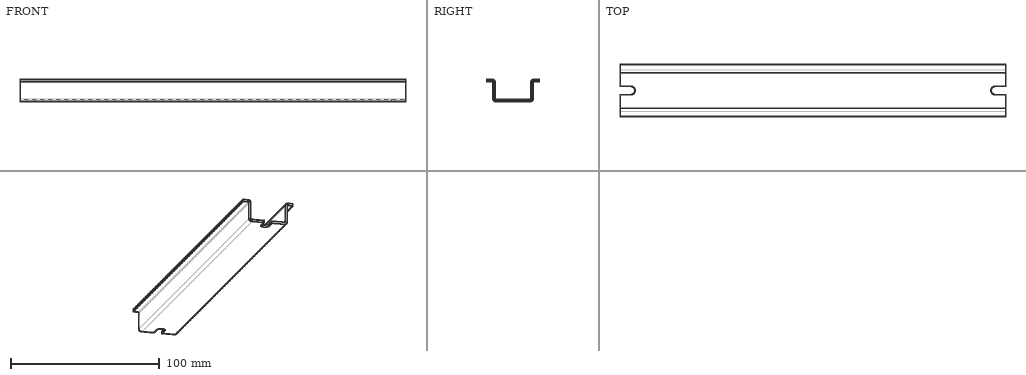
import cadquery as cq

length = 260.0
overall_width = 35.0
height = 15.0

thickness = 1.5
channel_width = 27.0
inner_bend_radius = 0.5
outer_bend_radius = inner_bend_radius + thickness

slot_width = 5.5
slot_depth = 10.0

flange_width = (overall_width - channel_width) / 2


def block(width, bottom, top):
    """Full-length bar centred on Y, between two Z levels."""
    return cq.Workplane("XY").box(length, width, top - bottom).translate((0, 0, (bottom + top) / 2))


def make_channel():
    """U-shaped trough with rounded bends along its floor edges."""
    outer = block(channel_width, 0, height).edges("|X and <Z").fillet(outer_bend_radius)
    inner = block(channel_width - 2 * thickness, thickness, height)
    inner = inner.edges("|X and <Z").fillet(inner_bend_radius)
    return outer.cut(inner)


def make_flange(side):
    """Outward lip at the top of one wall, side being +1 or -1 along Y."""
    center_y = side * (channel_width + flange_width) / 2
    return cq.Workplane("XY").box(length, flange_width, thickness).translate(
        (0, center_y, height - thickness / 2)
    )


def make_rail():
    """Hat section with its flange bends rounded inside and outside."""
    rail = make_channel()
    for side in (-1, 1):
        rail = rail.union(make_flange(side))
    rail = rail.clean()
    for side in (-1, 1):
        inner_corner = (0, side * channel_width / 2, height - thickness)
        outer_corner = (0, side * (channel_width / 2 - thickness), height)
        rail = rail.edges(cq.NearestToPointSelector(inner_corner)).fillet(inner_bend_radius)
        rail = rail.edges(cq.NearestToPointSelector(outer_corner)).fillet(outer_bend_radius)
    return rail


def make_end_slot(side):
    """Cutter for a round-ended slot open at one end of the floor."""
    return (
        cq.Workplane("XY")
        .center(side * length / 2, 0)
        .slot2D(2 * slot_depth, slot_width)
        .extrude(height)
    )


result = make_rail()
for end in (-1, 1):
    result = result.cut(make_end_slot(end))